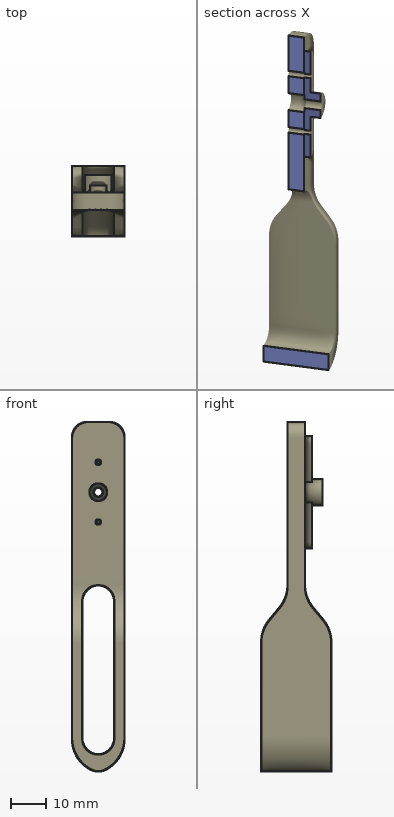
import cadquery as cq
import math

arm_width = 15.0
loop_depth = 20.0
neck_thickness = 5.0
corner_radius = 4.5

neck_top = 20.0
flare_top = -26.5
arch_base = -70.0

arch_radius = 10.0

flare_radius = 10.0
flare_angle = math.radians(40.0)

loop_wall = 3.0
slot_width = arm_width - 2 * loop_wall
slot_top = flare_top

horn_length = 32.0
horn_middle_width = 5.0
horn_end_radius = 2.0
horn_thickness = 2.0
hub_diameter = 7.5
hub_height = 5.0

pivot_hole_diameter = 5.0
hub_hole_diameter = 2.5
screw_hole_diameter = 1.5
horn_screw_hole_diameter = 1.0
screw_heights = [8.5, -8.5]

half_width = arm_width / 2
half_neck = neck_thickness / 2
half_loop = loop_depth / 2


def back_plane(y):
    """XZ plane at the given Y, extruding toward +Y, with local Y pointing along -Z."""
    return cq.Workplane(cq.Plane(origin=(0, y, 0), xDir=(1, 0, 0), normal=(0, 1, 0)))


def round_holes(start_y, depth, diameter, heights):
    """Cylinders along Y at the given heights on the centre line."""
    centres = [(0, -height) for height in heights]
    return back_plane(start_y).pushPoints(centres).circle(diameter / 2).extrude(depth)


def front_outline():
    """Arm outline in X and Z, with rounded top corners and a rounded pointed-arch bottom."""
    arch_centre_x = half_width - arch_radius
    point_angle = math.acos(-arch_centre_x / arch_radius)
    arch_mid_x = arch_centre_x + arch_radius * math.cos(point_angle / 2)
    arch_mid_z = arch_base - arch_radius * math.sin(point_angle / 2)
    arch_point_z = arch_base - arch_radius * math.sin(point_angle)
    return (
        cq.Workplane("XZ", origin=(0, half_loop, 0))
        .moveTo(-half_width, neck_top)
        .lineTo(half_width, neck_top)
        .lineTo(half_width, arch_base)
        .threePointArc((arch_mid_x, arch_mid_z), (0, arch_point_z))
        .threePointArc((-arch_mid_x, arch_mid_z), (-half_width, arch_base))
        .close()
        .extrude(loop_depth)
        .edges("|Y and (>Z or <Z)")
        .fillet(corner_radius)
    )


def side_outline():
    """Arm outline in Y and Z: thin neck, S-shaped flares and deep loop."""
    arc_out = flare_radius * (1 - math.cos(flare_angle))
    arc_drop = flare_radius * math.sin(flare_angle)
    mid_out = flare_radius * (1 - math.cos(flare_angle / 2))
    mid_drop = flare_radius * math.sin(flare_angle / 2)
    straight_out = half_loop - half_neck - 2 * arc_out
    flare_bottom = flare_top - 2 * arc_drop - straight_out / math.tan(flare_angle)

    side_bottom = arch_base - arch_radius

    upper_mid = (half_neck + mid_out, flare_top - mid_drop)
    upper_end = (half_neck + arc_out, flare_top - arc_drop)
    lower_start = (half_loop - arc_out, flare_bottom + arc_drop)
    lower_mid = (half_loop - mid_out, flare_bottom + mid_drop)
    half = (
        cq.Workplane("YZ", origin=(-half_width, 0, 0))
        .moveTo(0, neck_top)
        .lineTo(half_neck, neck_top)
        .lineTo(half_neck, flare_top)
        .threePointArc(upper_mid, upper_end)
        .lineTo(*lower_start)
        .threePointArc(lower_mid, (half_loop, flare_bottom))
        .lineTo(half_loop, side_bottom)
        .lineTo(0, side_bottom)
        .close()
        .extrude(arm_width)
    )
    return half.union(half.mirror("XZ"))


def loop_slot():
    """Round-ended opening through the loop; its lower end is concentric with the side ends."""
    slot_bottom = arch_base - slot_width / 2
    slot_middle = (slot_top + slot_bottom) / 2
    return (
        back_plane(-half_loop)
        .center(0, -slot_middle)
        .slot2D(slot_top - slot_bottom, slot_width, 90)
        .extrude(loop_depth)
    )


def make_arm():
    arm = front_outline().intersect(side_outline()).cut(loop_slot())
    arm = arm.cut(round_holes(-half_neck, neck_thickness, pivot_hole_diameter, [0]))
    return arm.cut(round_holes(-half_neck, neck_thickness, screw_hole_diameter, screw_heights))


def horn_bar():
    """Flat bar, widest in the middle, with straight sides tangent to both end arcs."""
    half_middle = horn_middle_width / 2
    end_centre = horn_length / 2 - horn_end_radius
    reach = math.hypot(half_middle, end_centre)
    taper = math.acos(horn_end_radius / reach) - math.atan2(end_centre, half_middle)
    tangent_x = horn_end_radius * math.cos(taper)
    tangent_z = end_centre + horn_end_radius * math.sin(taper)
    return (
        back_plane(half_neck)
        .moveTo(half_middle, 0)
        .lineTo(tangent_x, tangent_z)
        .threePointArc((0, horn_length / 2), (-tangent_x, tangent_z))
        .lineTo(-half_middle, 0)
        .lineTo(-tangent_x, -tangent_z)
        .threePointArc((0, -horn_length / 2), (tangent_x, -tangent_z))
        .close()
        .extrude(horn_thickness)
    )


def make_horn():
    bar = horn_bar()
    hub = back_plane(half_neck).circle(hub_diameter / 2).extrude(hub_height)
    horn = bar.union(hub)
    horn = horn.cut(round_holes(half_neck, hub_height, hub_hole_diameter, [0]))
    return horn.cut(round_holes(half_neck, horn_thickness, horn_screw_hole_diameter, screw_heights))


arm = make_arm()
horn = make_horn()

result = cq.Compound.makeCompound([arm.val(), horn.val()])